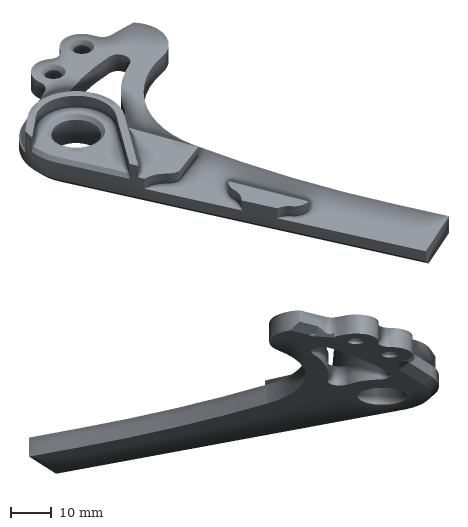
import math

import cadquery as cq


plate_height = 5.0
floor_height = 8.0
wall_height = 11.5
underside_chamfer = 2.0
raised_base = plate_height / 2
pocket_lip_chamfer = 1.0

arm_end_x = 97.12
arm_bottom_y = -13.0
arm_top_y = 3.0
arm_flat_start_x = 83.0
left_edge_x = -14.7
heel_radius = abs(left_edge_x)
heel_center = (0.0, arm_bottom_y + heel_radius)

tip_center = (-2.15, 43.11)
tip_radius = 9.3
tip_corner_x = -4.9
tip_slant_angle = 65.0
throat_center = (33.0, 35.0)
throat_radius = math.dist(tip_center, throat_center) - tip_radius

upper_lug_center = (-13.05, 37.85)
lower_lug_center = (-15.8, 25.4)
lug_radius = 5.5
lug_bore_radius = 2.05
lug_blend_radius = 3.0
back_blend_radius = 3.5
countersink = 1.0
chamfer_fade = 2.0
chamfer_fade_length = 4.0
chamfer_fade_overhang = 1.0

window_web = 5.65
window_back_center = (51.75, 14.45)
window_back_radius = 61.0
window_corner_radius = 3.0

pivot_center = (0.0, 0.0)
pivot_bore_radius = 6.1
rim_outer_radius = 12.0
rim_thickness = 2.0
rim_right_tangent = 30.0
rim_left_tangent = 195.0

near_pad_top_corner = (30.5, 4.4)
near_pad_low_corner = (29.8, -6.9)
near_pad_upper_arc = (28.9, -8.0)
near_pad_bend = (27.6, -8.9)
near_pad_lower_arc = (24.8, -10.5)
near_pad_foot = (23.0, arm_bottom_y)

far_pad_left_foot = (48.6, arm_bottom_y)
far_pad_left_lower_arc = (47.4, -11.0)
far_pad_left_bend = (45.1, -9.4)
far_pad_left_upper_arc = (43.5, -8.2)
far_pad_left_corner = (42.7, -6.5)
far_pad_right_corner = (64.2, -7.5)
far_pad_right_upper_arc = (63.2, -9.5)
far_pad_right_bend = (61.5, -10.8)
far_pad_right_lower_arc = (59.5, -11.5)
far_pad_right_foot = (58.0, arm_bottom_y)


def polar(center, radius, bearing):
    """Point at a bearing in degrees on a circle."""
    angle = math.radians(bearing)
    return (center[0] + radius * math.cos(angle), center[1] + radius * math.sin(angle))


def toward(start, target, distance):
    """Point at a distance from start on the line through target."""
    share = distance / math.dist(start, target)
    return (start[0] + share * (target[0] - start[0]), start[1] + share * (target[1] - start[1]))


def arc_middle(center, radius, start, end):
    """Middle of the shorter arc between two points of a circle."""
    chord_middle = ((start[0] + end[0]) / 2, (start[1] + end[1]) / 2)
    return toward(center, chord_middle, radius)


def left_crossing(center_a, radius_a, center_b, radius_b):
    """Crossing of two circles that lies to the left when going from a to b."""
    span = math.dist(center_a, center_b)
    along = (span**2 + radius_a**2 - radius_b**2) / (2 * span)
    offset = math.sqrt(radius_a**2 - along**2)
    ux = (center_b[0] - center_a[0]) / span
    uy = (center_b[1] - center_a[1]) / span
    return (center_a[0] + along * ux - offset * uy, center_a[1] + along * uy + offset * ux)


tip_corner = (
    tip_corner_x,
    tip_center[1] + math.sqrt(tip_radius**2 - (tip_corner_x - tip_center[0]) ** 2),
)
lug_top_y = upper_lug_center[1] + lug_radius
slant_slope = math.tan(math.radians(tip_slant_angle))
slant_foot = (tip_corner_x - (tip_corner[1] - lug_top_y) / slant_slope, lug_top_y)

flat_gap_x = arm_flat_start_x - throat_center[0]
flat_gap_y = throat_center[1] - arm_top_y
arm_arc_radius = (flat_gap_x**2 + flat_gap_y**2 - throat_radius**2) / (2 * (flat_gap_y - throat_radius))
arm_arc_center = (arm_flat_start_x, arm_top_y + arm_arc_radius)


def make_body():
    """Lever plate without the lugs, with its back and lower edges chamfered underneath."""
    flat_start = (arm_flat_start_x, arm_top_y)
    throat_end = toward(arm_arc_center, throat_center, arm_arc_radius)
    throat_start = toward(tip_center, throat_center, tip_radius)
    heel_left = (left_edge_x, heel_center[1])
    heel_bottom = (heel_center[0], arm_bottom_y)
    back_top = (left_edge_x, upper_lug_center[1])
    tip_middle = arc_middle(tip_center, tip_radius, throat_start, tip_corner)
    heel_middle = arc_middle(heel_center, heel_radius, heel_left, heel_bottom)
    body = (
        cq.Workplane("XY")
        .moveTo(arm_end_x, arm_bottom_y)
        .lineTo(arm_end_x, arm_top_y)
        .lineTo(*flat_start)
        .threePointArc(arc_middle(arm_arc_center, arm_arc_radius, flat_start, throat_end), throat_end)
        .threePointArc(arc_middle(throat_center, throat_radius, throat_end, throat_start), throat_start)
        .threePointArc(tip_middle, tip_corner)
        .lineTo(*slant_foot)
        .lineTo(*back_top)
        .lineTo(*heel_left)
        .threePointArc(heel_middle, heel_bottom)
        .close()
        .extrude(plate_height)
    )
    slant_middle = toward(tip_corner, slant_foot, math.dist(tip_corner, slant_foot) / 2)
    bottom_middle = (arm_end_x / 2, arm_bottom_y)
    for edge_middle in (bottom_middle, slant_middle):
        edge = cq.NearestToPointSelector((*edge_middle, 0))
        body = body.edges(edge).chamfer(underside_chamfer)
    return body


def make_fade(edge_point, edge_bearing, inward_bearing):
    """Three-sided cutter that lets the underside chamfer shrink to nothing along a straight edge."""
    growth = 1 + chamfer_fade_overhang / underside_chamfer
    leg = underside_chamfer * growth
    corner = polar(edge_point, -chamfer_fade_overhang, inward_bearing)
    inner = polar(corner, leg, inward_bearing)
    ahead = polar(corner, chamfer_fade_length * growth, edge_bearing)
    vertices = [cq.Vector(*corner, 0), cq.Vector(*inner, 0), cq.Vector(*ahead, 0), cq.Vector(*corner, leg)]
    faces = []
    for skipped in vertices:
        triangle = [vertex for vertex in vertices if vertex is not skipped]
        faces.append(cq.Face.makeFromWires(cq.Wire.makePolygon(triangle, close=True)))
    return cq.Solid.makeSolid(cq.Shell.makeShell(faces))


def make_lugs():
    """Both lugs at full plate height, blended together and into the edges, and their chamfer cutters."""
    blend = lug_blend_radius
    reach = lug_radius + blend

    back_blend = back_blend_radius
    low_x = left_edge_x - back_blend
    low_drop = math.sqrt((lug_radius + back_blend) ** 2 - (low_x - lower_lug_center[0]) ** 2)
    low_center = (low_x, lower_lug_center[1] - low_drop)
    low_start = (left_edge_x, low_center[1])
    low_end = toward(low_center, lower_lug_center, back_blend)

    mid_center = left_crossing(lower_lug_center, reach, upper_lug_center, reach)
    mid_start = toward(mid_center, lower_lug_center, blend)
    mid_end = toward(mid_center, upper_lug_center, blend)

    setback = blend * math.tan(math.radians(tip_slant_angle / 2))
    top_start = (slant_foot[0] - setback, lug_top_y)
    top_end = toward(slant_foot, tip_corner, setback)
    top_center = (top_start[0], lug_top_y + blend)
    upper_lug_top = (upper_lug_center[0], lug_top_y)

    slant_inward = tip_slant_angle - 90
    lower_fade = (left_edge_x, low_start[1] - chamfer_fade)
    lower_fade_inner = (left_edge_x + underside_chamfer, lower_fade[1])
    upper_fade = toward(top_end, tip_corner, chamfer_fade)
    upper_fade_inner = polar(upper_fade, underside_chamfer, slant_inward)

    lower_lug_middle = arc_middle(lower_lug_center, lug_radius, low_end, mid_start)
    upper_lug_middle = arc_middle(upper_lug_center, lug_radius, mid_end, upper_lug_top)
    lugs = (
        cq.Workplane("XY")
        .moveTo(*lower_fade)
        .lineTo(*low_start)
        .threePointArc(arc_middle(low_center, back_blend, low_start, low_end), low_end)
        .threePointArc(lower_lug_middle, mid_start)
        .threePointArc(arc_middle(mid_center, blend, mid_start, mid_end), mid_end)
        .threePointArc(upper_lug_middle, upper_lug_top)
        .lineTo(*top_start)
        .threePointArc(arc_middle(top_center, blend, top_start, top_end), top_end)
        .lineTo(*upper_fade)
        .lineTo(*upper_fade_inner)
        .lineTo(*lower_fade_inner)
        .close()
        .extrude(plate_height)
    )
    lower_cutter = make_fade(lower_fade, 90, 0)
    upper_cutter = make_fade(upper_fade, tip_slant_angle + 180, slant_inward)
    return lugs, lower_cutter, upper_cutter


def make_window():
    """Three-cornered cutter bounded by the hook back, the throat web and the pivot rim."""
    corner = window_corner_radius
    front_radius = throat_radius + window_web
    front_reach = front_radius + corner
    back_reach = window_back_radius - corner
    rim_reach = rim_outer_radius + corner

    top = left_crossing(window_back_center, back_reach, throat_center, front_reach)
    back = left_crossing(pivot_center, rim_reach, window_back_center, back_reach)
    front = left_crossing(pivot_center, rim_reach, throat_center, front_reach)

    front_low = toward(throat_center, front, front_radius)
    front_top = toward(throat_center, top, front_radius)
    back_top = toward(window_back_center, top, window_back_radius)
    back_low = toward(window_back_center, back, window_back_radius)
    rim_back = toward(pivot_center, back, rim_outer_radius)
    rim_front = toward(pivot_center, front, rim_outer_radius)
    return (
        cq.Workplane("XY")
        .moveTo(*front_low)
        .threePointArc(arc_middle(throat_center, front_radius, front_low, front_top), front_top)
        .threePointArc(arc_middle(top, corner, front_top, back_top), back_top)
        .threePointArc(arc_middle(window_back_center, window_back_radius, back_top, back_low), back_low)
        .threePointArc(arc_middle(back, corner, back_low, rim_back), rim_back)
        .threePointArc(arc_middle(pivot_center, rim_outer_radius, rim_back, rim_front), rim_front)
        .threePointArc(arc_middle(front, corner, rim_front, front_low), front_low)
        .close()
        .extrude(plate_height)
    )


def rim_outline(radius, height):
    """Prism of a pivot circle with two straight walls running tangentially to the lower edge."""
    right_start = polar(pivot_center, radius, rim_right_tangent)
    left_start = polar(pivot_center, radius, rim_left_tangent)
    run_out = 2 * abs(arm_bottom_y)
    right_end = polar(right_start, run_out, rim_right_tangent - 90)
    left_end = polar(left_start, run_out, rim_left_tangent + 90)
    top_middle = arc_middle(pivot_center, radius, right_start, left_start)
    return (
        cq.Workplane("XY")
        .moveTo(*right_end)
        .lineTo(*right_start)
        .threePointArc(top_middle, left_start)
        .lineTo(*left_end)
        .close()
        .extrude(height)
    )


def heel_prism(outset, base, top):
    """Prism that follows the heel and lower edge, grown by a distance, for trimming raised features."""
    low_y = arm_bottom_y - outset
    left_x = left_edge_x - outset
    high_y = tip_center[1]
    heel_left = (left_x, heel_center[1])
    heel_bottom = (heel_center[0], low_y)
    heel_middle = arc_middle(heel_center, heel_radius + outset, heel_left, heel_bottom)
    return (
        cq.Workplane("XY")
        .workplane(offset=base)
        .moveTo(arm_end_x, low_y)
        .lineTo(arm_end_x, high_y)
        .lineTo(left_x, high_y)
        .lineTo(*heel_left)
        .threePointArc(heel_middle, heel_bottom)
        .close()
        .extrude(top - base)
    )


def make_housing():
    """Raised pivot housing above the plate: floor with a chamfered open edge, and the rim wall."""
    bevel_base = floor_height - pocket_lip_chamfer
    trim = heel_prism(0, raised_base, wall_height)
    outer = rim_outline(rim_outer_radius, wall_height).intersect(trim)
    pocket = rim_outline(rim_outer_radius - rim_thickness, wall_height)
    above_bevel = pocket.intersect(heel_prism(pocket_lip_chamfer, bevel_base, wall_height))
    floor = heel_prism(0, raised_base, floor_height)
    lip_edge = cq.NearestToPointSelector((arm_end_x / 2, arm_bottom_y, floor_height))
    floor = floor.edges(lip_edge).chamfer(pocket_lip_chamfer)
    return outer.cut(above_bevel.cut(floor))


def make_near_pad():
    """Raised pad against the right wall of the pivot housing, overlapping into the wall."""
    middle_radius = rim_outer_radius - rim_thickness / 2
    wall_top = polar(pivot_center, rim_outer_radius, rim_right_tangent)
    wall_middle = polar(pivot_center, middle_radius, rim_right_tangent)
    wall_drop = wall_middle[1] - arm_bottom_y
    wall_foot_x = wall_middle[0] + wall_drop * math.tan(math.radians(rim_right_tangent))
    return (
        cq.Workplane("XY")
        .moveTo(wall_foot_x, arm_bottom_y)
        .lineTo(*wall_middle)
        .lineTo(*wall_top)
        .lineTo(*near_pad_top_corner)
        .lineTo(*near_pad_low_corner)
        .threePointArc(near_pad_upper_arc, near_pad_bend)
        .threePointArc(near_pad_lower_arc, near_pad_foot)
        .close()
        .extrude(floor_height)
    )


def make_far_pad():
    """Free-standing raised pad at the lower edge of the arm."""
    return (
        cq.Workplane("XY")
        .moveTo(*far_pad_left_foot)
        .threePointArc(far_pad_left_lower_arc, far_pad_left_bend)
        .threePointArc(far_pad_left_upper_arc, far_pad_left_corner)
        .lineTo(*far_pad_right_corner)
        .threePointArc(far_pad_right_upper_arc, far_pad_right_bend)
        .threePointArc(far_pad_right_lower_arc, far_pad_right_foot)
        .close()
        .extrude(floor_height)
    )


def make_bore(center, radius, top):
    """Through bore cutter with a countersunk mouth at the given height."""
    bore = cq.Workplane("XY").center(*center).circle(radius).extrude(top)
    sink = (
        cq.Workplane("XY")
        .workplane(offset=top - countersink)
        .center(*center)
        .circle(radius)
        .workplane(offset=countersink)
        .circle(radius + countersink)
        .loft(ruled=True)
    )
    return bore.union(sink)


pads = make_near_pad().union(make_far_pad())
pads = pads.intersect(heel_prism(0, raised_base, floor_height))

lugs, lower_fade_cutter, upper_fade_cutter = make_lugs()

result = make_body().union(lugs).cut(lower_fade_cutter).cut(upper_fade_cutter)
result = result.cut(make_window())
result = result.union(pads).union(make_housing())
result = result.cut(make_bore(pivot_center, pivot_bore_radius, floor_height))
for lug_center in (upper_lug_center, lower_lug_center):
    result = result.cut(make_bore(lug_center, lug_bore_radius, plate_height))